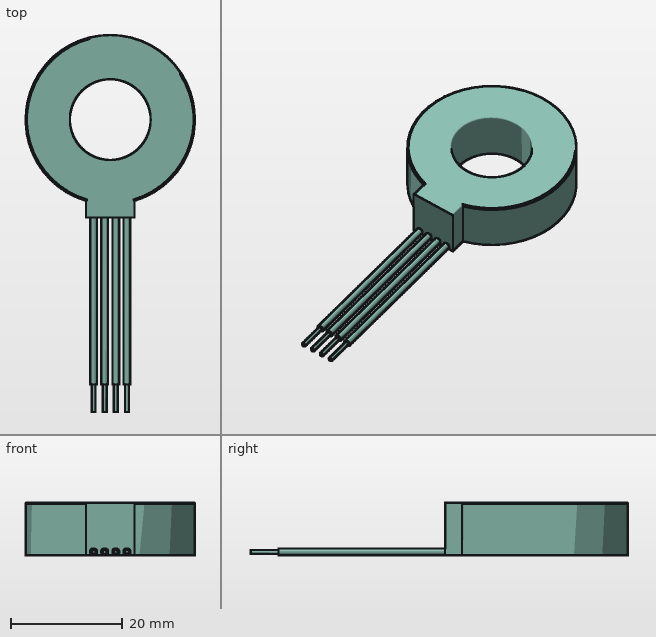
import cadquery as cq

RING_DIAMETER = 30.5
BORE_DIAMETER = 14.5
HEIGHT = 9.5
EDGE_RADIUS = 0.25

BLOCK_WIDTH = 8.8
BLOCK_END = 17.65

LEAD_COUNT = 4
LEAD_PITCH = 2.0
LEAD_DIAMETER = 1.25
LEAD_LENGTH = 30.0
CONDUCTOR_DIAMETER = 0.75
STRIPPED_LENGTH = 5.0
LEAD_EMBED = 1.0
LEAD_AXIS_HEIGHT = LEAD_DIAMETER / 2


def make_housing():
    """Ring and lead block as one body, bored through along Z, with rounded top edges."""
    ring = cq.Workplane("XY").circle(RING_DIAMETER / 2).extrude(HEIGHT)
    block = (
        cq.Workplane("XY")
        .center(0, -BLOCK_END / 2)
        .rect(BLOCK_WIDTH, BLOCK_END)
        .extrude(HEIGHT)
    )
    body = ring.union(block)
    bore = cq.Workplane("XY").circle(BORE_DIAMETER / 2).extrude(HEIGHT)
    body = body.cut(bore)
    return body.faces(">Z").edges("not <Y").fillet(EDGE_RADIUS)


def make_rod(x, diameter, length):
    """Rod along -Y that starts inside the block and reaches length beyond it."""
    return (
        cq.Workplane("XZ", origin=(x, LEAD_EMBED - BLOCK_END, LEAD_AXIS_HEIGHT))
        .circle(diameter / 2)
        .extrude(LEAD_EMBED + length)
    )


def make_lead(x):
    """Insulated lead with its bare conductor sticking out of the end."""
    insulation = make_rod(x, LEAD_DIAMETER, LEAD_LENGTH)
    conductor = make_rod(x, CONDUCTOR_DIAMETER, LEAD_LENGTH + STRIPPED_LENGTH)
    return insulation.union(conductor)


result = make_housing()
for index in range(LEAD_COUNT):
    lead_x = (index - (LEAD_COUNT - 1) / 2) * LEAD_PITCH
    result = result.union(make_lead(lead_x))